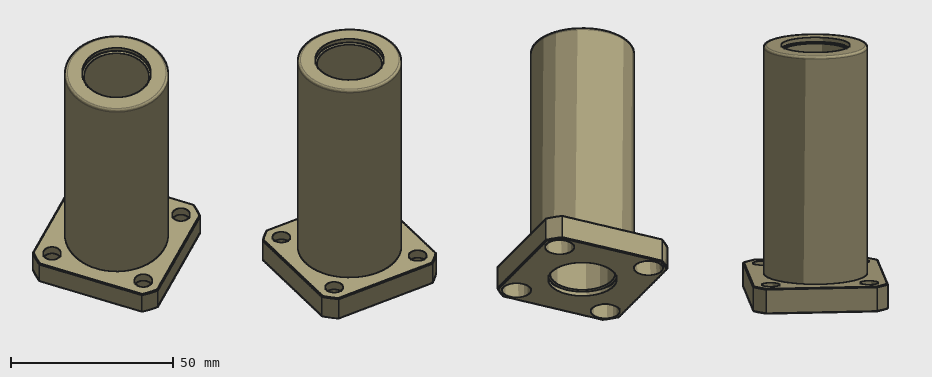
import cadquery as cq

length = 80.0
body_diameter = 32.0
flange_diameter = 54.0
flange_width = 41.8
flange_thickness = 8.0

bore_diameter = 20.0
mouth_diameter = 21.2
mouth_depth = 1.4
groove_diameter = 22.4
groove_width = 0.4

hole_count = 4
hole_circle_diameter = 43.0
hole_diameter = 5.5
counterbore_diameter = 9.0
counterbore_depth = 5.1

body_fillet = 0.8
flange_chamfer = 0.3


def chamfered_cylinder(diameter, height, chamfer):
    return cq.Workplane("XY").circle(diameter / 2).extrude(height).edges().chamfer(chamfer)


def make_flange():
    """Square plate standing on its corner, with the corners turned round."""
    square = (
        cq.Workplane("XY")
        .rect(flange_width, flange_width)
        .extrude(flange_thickness)
        .faces("<Z or >Z")
        .edges()
        .chamfer(flange_chamfer)
        .rotate((0, 0, 0), (0, 0, 1), 45)
    )
    return square.intersect(chamfered_cylinder(flange_diameter, flange_thickness, flange_chamfer))


def make_body():
    """Round sleeve with its top outer edge rounded."""
    return (
        cq.Workplane("XY")
        .circle(body_diameter / 2)
        .extrude(length)
        .faces(">Z")
        .edges()
        .fillet(body_fillet)
    )


def make_bore():
    """Bore with the same mouth and groove cut into both ends."""
    bore = cq.Workplane("XY").circle(bore_diameter / 2).extrude(length)
    mouth = cq.Workplane("XY").circle(mouth_diameter / 2).extrude(mouth_depth)
    groove = (
        cq.Workplane("XY")
        .workplane(offset=mouth_depth)
        .circle(groove_diameter / 2)
        .extrude(groove_width)
    )
    bottom_end = mouth.union(groove)
    top_end = bottom_end.mirror("XY", (0, 0, length / 2))
    return bore.union(bottom_end).union(top_end)


def make_mounting_holes():
    centres = cq.Workplane("XY").polarArray(hole_circle_diameter / 2, 0, 360, hole_count)
    holes = centres.circle(hole_diameter / 2).extrude(flange_thickness)
    centres = cq.Workplane("XY").polarArray(hole_circle_diameter / 2, 0, 360, hole_count)
    counterbores = centres.circle(counterbore_diameter / 2).extrude(counterbore_depth)
    return holes.union(counterbores)


result = make_flange().union(make_body()).cut(make_bore()).cut(make_mounting_holes())